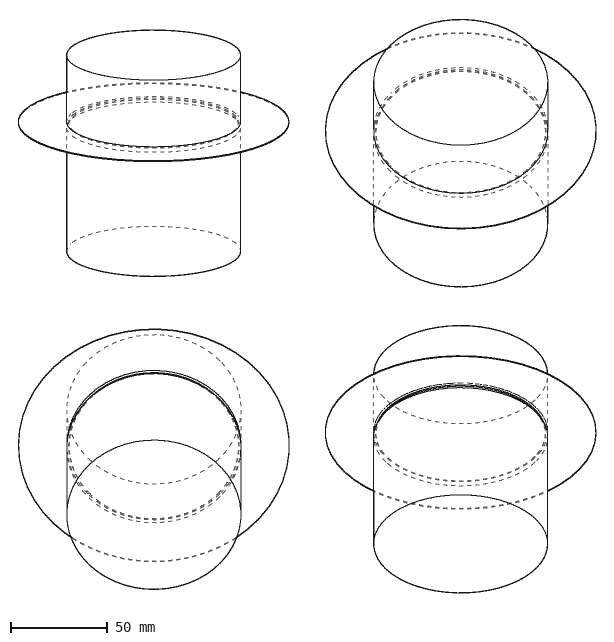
import cadquery as cq

total_height = 106.0
barrel_diameter = 90.0
base_height = 67.0
cap_height = 36.0
flange_diameter = 140.0
flange_thickness = 0.5
spigot_top_diameter = 88.0
spigot_tip_diameter = 87.5
spigot_height = 0.6

cap_bottom = total_height - cap_height
flange_bottom = cap_bottom - flange_thickness
spigot_bottom = flange_bottom - spigot_height


def disc(diameter, height, bottom):
    """Upright solid cylinder on the Z axis, standing at the given level."""
    return cq.Workplane("XY").workplane(offset=bottom).circle(diameter / 2).extrude(height)


def make_base():
    """Lower barrel, separated from the spigot above it by a narrow gap."""
    return disc(barrel_diameter, base_height, 0)


def make_flange():
    """Thin wide plate with a shallow tapered spigot on its underside."""
    plate = disc(flange_diameter, flange_thickness, flange_bottom)
    spigot = (
        cq.Workplane("XY")
        .workplane(offset=spigot_bottom)
        .circle(spigot_tip_diameter / 2)
        .workplane(offset=spigot_height)
        .circle(spigot_top_diameter / 2)
        .loft()
    )
    return plate.union(spigot)


def make_cap():
    """Upper barrel, resting on the flange."""
    return disc(barrel_diameter, cap_height, cap_bottom)


base = make_base()
flange = make_flange()
cap = make_cap()

result = cq.Compound.makeCompound([base.val(), flange.val(), cap.val()])